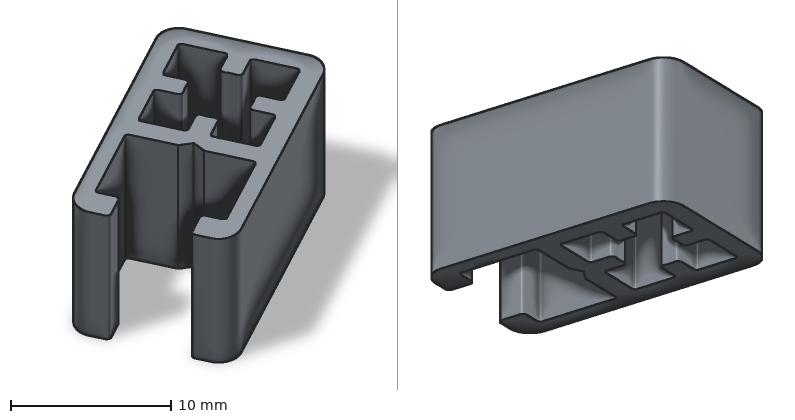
import cadquery as cq
import math

width = 11.0
depth = 19.0
height = 10.0

wall = 1.5
corner_radius = wall
inner_radius = 0.25

chamber = width - 2 * wall
chamber_y = depth / 2 - wall - chamber / 2
rib_width = wall
rib_tip_radius = 0.3
bore_radius = 2.25

channel_wall = 1.2
channel_width = width - 2 * channel_wall
channel_top = chamber_y - chamber / 2 - wall
lip_thickness = 2.0
lip_radius = 0.3
opening_width = 5.34
channel_floor = -depth / 2 + lip_thickness

groove_depth = 0.5
groove_half_width = groove_depth * math.tan(math.radians(60))


def block(size_x, y_min, y_max):
    """Full-height block centred on X between two Y positions."""
    return (
        cq.Workplane("XY")
        .center(0, (y_min + y_max) / 2)
        .rect(size_x, y_max - y_min)
        .extrude(height)
    )


def ribbed_chamber():
    """Cavity of the upper chamber: a square less its four ribs."""
    half = chamber / 2
    cavity = block(chamber, -half, half)
    bore = cq.Workplane("XY").circle(bore_radius).extrude(height)
    ribs = block(rib_width, -half, half).union(
        cq.Workplane("XY").rect(chamber, rib_width).extrude(height)
    ).cut(bore)
    cavity = cavity.cut(ribs)

    tip_zone = cq.selectors.BoxSelector(
        (-bore_radius, -bore_radius, 0), (bore_radius, bore_radius, height)
    )
    cavity = cavity.edges("|Z").edges(-tip_zone).fillet(inner_radius)
    cavity = cavity.edges("|Z").edges(tip_zone).fillet(rib_tip_radius)
    return cavity.translate((0, chamber_y, 0))


def channel():
    """Cavity of the lower channel with rounded upper and lower corners."""
    return block(channel_width, channel_floor, channel_top).edges("|Z").fillet(inner_radius)


def channel_groove():
    """V groove running the full height of the channel ceiling."""
    return (
        cq.Workplane("XY")
        .moveTo(-groove_half_width, channel_top)
        .lineTo(0, channel_top + groove_depth)
        .lineTo(groove_half_width, channel_top)
        .close()
        .extrude(height)
    )


body = block(width, -depth / 2, depth / 2).edges("|Z").fillet(corner_radius)
body = body.cut(ribbed_chamber()).cut(channel()).cut(channel_groove())
body = body.cut(block(opening_width, -depth / 2, channel_floor))

lip_zone = cq.selectors.BoxSelector(
    (-opening_width / 2 - lip_radius, -depth / 2 - lip_radius, 0),
    (opening_width / 2 + lip_radius, channel_floor + lip_radius, height),
)
result = body.edges("|Z").edges(lip_zone).fillet(lip_radius)